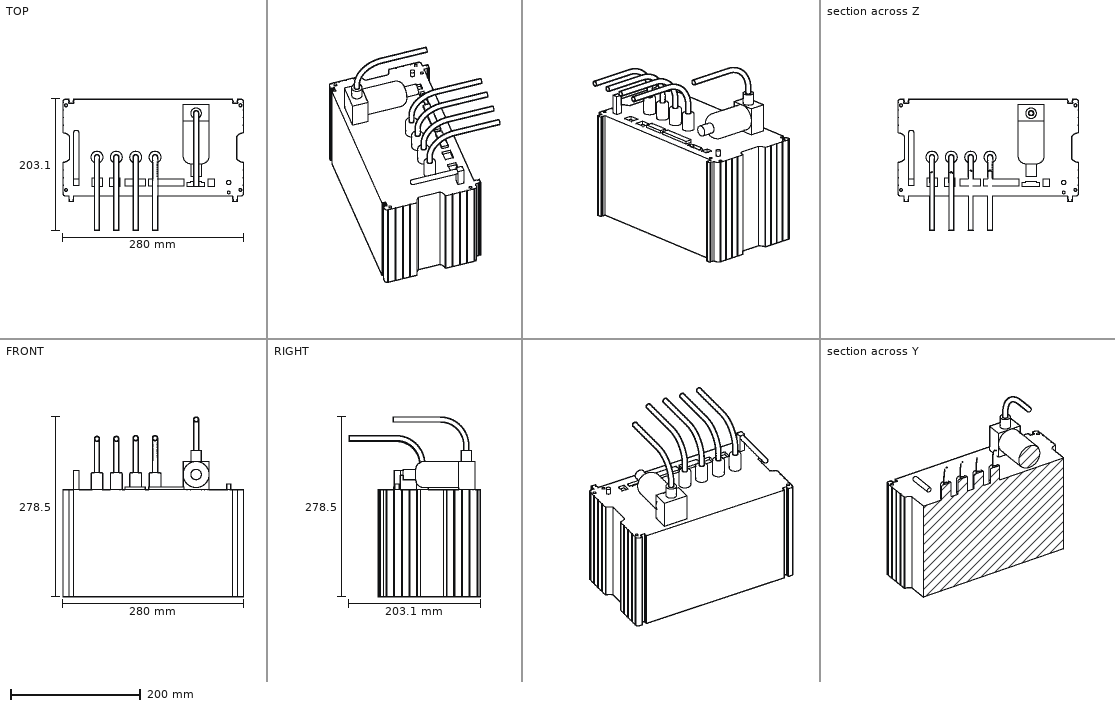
import cadquery as cq

CASE_WIDTH = 280.0
CASE_DEPTH = 150.0
CASE_HEIGHT = 166.0
CORNER_RADIUS = 4.5
HALF_WIDTH = CASE_WIDTH / 2
BACK_Y = CASE_DEPTH / 2
FRONT_Y = -BACK_Y

RECESS_MOUTH_HALF = 22.7
RECESS_FLOOR_HALF = 17.5
RECESS_DEPTH = 10.5

GROOVE_PITCH = 11.9
GROOVES_PER_SIDE = 5
GROOVE_HALF_WIDTH = 0.8
GROOVE_DEPTH = 1.0

JOINT_X = 126.8
JOINT_WIDTH = 7.5
TAB_LENGTH = 8.7
NOTCH_DEPTH = 6.2
SNAP_FROM_END = 2.8
SNAP_HALF_LENGTH = 1.5
SNAP_DEPTH = 1.0

SMALL_HOLE_DIAMETER = 4.2
CORNER_HOLE_X = 135.0
CORNER_HOLE_Y = 65.5
BLIND_HOLE_CENTRE = (116.8, -69.5)

POCKET_DEPTH = 5.0
POCKETS = [
    (-95.0, -78.7, -60.2, -46.8),
    (-67.5, -51.2, -60.2, -46.8),
    (52.5, 79.2, -60.2, -53.8),
    (57.7, 75.0, -60.2, -52.0),
    (85.0, 95.2, -60.2, -48.7),
]

PLATE_HEIGHT = 4.2
PLATES = [
    (-44.0, -12.0, -59.5, -48.7),
    (-7.0, 47.5, -59.5, -48.7),
]

PIN_CENTRE = (116.8, -54.0)
PIN_DIAMETER = 6.7
PIN_HEIGHT = 8.7

POST = (-123.5, -114.8, -58.5, -48.7)
POST_HEIGHT = 29.7
ROD_RADIUS = 4.0
ROD_LENGTH = 75.5
ROD_TIP_FILLET = 3.5

CABLE_RADIUS = 4.2
CABLE_BORE_RADIUS = 3.5
CABLE_BEND_RADIUS = 40.3
CABLE_RUN = 73.0

GLAND_FIRST_X = -87.0
GLAND_PITCH = 30.0
GLAND_Y = -14.8
GLAND_RADIUS = 9.2
GLAND_HEIGHT = 26.3
GLAND_FILLET = 2.2
CABLE_RISES = [11.8, 11.8, 13.0, 13.0]

MOTOR_X = 66.5
MOTOR_WIDTH = 40.3
BLOCK_HEIGHT = 43.5
BLOCK_FRONT_Y = 41.5
BLOCK_BACK_Y = 67.0
MOTOR_RADIUS = MOTOR_WIDTH / 2
MOTOR_NOSE_Y = -25.2
MOTOR_NOSE_FILLET = 12.3
SHAFT_RADIUS = 8.0
SHAFT_END_Y = -44.5
MOTOR_GLAND_Y = 53.2
MOTOR_GLAND_RADIUS = 8.0
MOTOR_GLAND_HEIGHT = 17.0
MOTOR_CABLE_RISE = 7.5


def slab(bounds, bottom, height):
    """Rectangular block from (left, right, front, back) bounds."""
    left, right, front, back = bounds
    return (
        cq.Workplane("XY")
        .box(right - left, back - front, height, centered=False)
        .translate((left, front, bottom))
    )


def upright(centre, radius, bottom, height):
    """Vertical round bar."""
    return cq.Workplane("XY", origin=(*centre, bottom)).circle(radius).extrude(height)


def forward_bar(x, z, radius, start_y, length):
    """Round bar lying along Y and running towards the front from start_y."""
    return cq.Workplane("XZ", origin=(x, start_y, z)).circle(radius).extrude(length)


def both_ends(shape):
    """A shape at the +X end together with its mirror image at the -X end."""
    return shape.union(shape.mirror("YZ"))


def end_recess():
    shoulder_drop = RECESS_MOUTH_HALF - RECESS_FLOOR_HALF
    floor_x = HALF_WIDTH - RECESS_DEPTH
    outside_x = HALF_WIDTH + 2.8
    upper_half = (
        cq.Workplane("XY")
        .moveTo(outside_x, 0)
        .lineTo(outside_x, RECESS_MOUTH_HALF)
        .lineTo(HALF_WIDTH, RECESS_MOUTH_HALF)
        .tangentArcPoint((-RECESS_DEPTH, -shoulder_drop))
        .lineTo(floor_x, 0)
        .close()
        .extrude(CASE_HEIGHT)
    )
    return upper_half.union(upper_half.mirror("XZ"))


def end_groove(y):
    return (
        cq.Workplane("XY")
        .moveTo(HALF_WIDTH, y - GROOVE_HALF_WIDTH)
        .lineTo(HALF_WIDTH - GROOVE_DEPTH, y)
        .lineTo(HALF_WIDTH, y + GROOVE_HALF_WIDTH)
        .close()
        .extrude(CASE_HEIGHT)
    )


def snap_profile(root_y, length):
    """Straight tongue running forward from root_y, pinched near its tip."""
    half = JOINT_WIDTH / 2
    tip_y = root_y - length
    pinch_y = tip_y + SNAP_FROM_END
    right_side = [
        (half, root_y),
        (half, pinch_y + SNAP_HALF_LENGTH),
        (half - SNAP_DEPTH, pinch_y),
        (half, pinch_y - SNAP_HALF_LENGTH),
        (half, tip_y),
    ]
    left_side = [(-x, y) for x, y in reversed(right_side)]
    tongue = cq.Workplane("XY").polyline(right_side + left_side).close()
    return tongue.extrude(CASE_HEIGHT).translate((JOINT_X, 0, 0))


def make_case():
    case = cq.Workplane("XY").box(
        CASE_WIDTH, CASE_DEPTH, CASE_HEIGHT, centered=(True, True, False)
    )
    case = case.edges("|Z").fillet(CORNER_RADIUS)
    case = case.cut(both_ends(end_recess()))
    for index in range(GROOVES_PER_SIDE):
        y = RECESS_MOUTH_HALF + index * GROOVE_PITCH
        for groove_y in (y, -y):
            case = case.cut(both_ends(end_groove(groove_y)))

    case = case.union(both_ends(snap_profile(FRONT_Y, TAB_LENGTH)))
    case = case.cut(both_ends(snap_profile(BACK_Y, NOTCH_DEPTH)))

    pocket_floor = CASE_HEIGHT - POCKET_DEPTH
    for bounds in POCKETS:
        case = case.cut(slab(bounds, pocket_floor, POCKET_DEPTH))

    hole_radius = SMALL_HOLE_DIAMETER / 2
    for y in (CORNER_HOLE_Y, -CORNER_HOLE_Y):
        case = case.cut(both_ends(upright((CORNER_HOLE_X, y), hole_radius, 0, CASE_HEIGHT)))
    return case.cut(upright(BLIND_HOLE_CENTRE, hole_radius, pocket_floor, POCKET_DEPTH))


def cable(x, y, bottom, rise):
    """Hollow cable rising from (x, y, bottom) and bending to the front."""
    bend = CABLE_BEND_RADIUS
    bend_start_z = bottom + rise
    run_z = bend_start_z + bend
    run_y = y - bend
    section = cq.Workplane("XY", origin=(x, y, bend_start_z))
    section = section.circle(CABLE_RADIUS).circle(CABLE_BORE_RADIUS)
    elbow = section.revolve(90, (0, -bend, 0), (1, -bend, 0))
    riser = upright((x, y), CABLE_RADIUS, bottom, rise)
    riser = riser.cut(upright((x, y), CABLE_BORE_RADIUS, bottom, rise))
    run = forward_bar(x, run_z, CABLE_RADIUS, run_y, CABLE_RUN)
    run = run.cut(forward_bar(x, run_z, CABLE_BORE_RADIUS, run_y, CABLE_RUN))
    return riser.union(elbow).union(run)


def cable_gland(x, rise):
    gland = upright((x, GLAND_Y), GLAND_RADIUS, CASE_HEIGHT, GLAND_HEIGHT)
    gland = gland.faces(">Z").edges().fillet(GLAND_FILLET)
    return gland.union(cable(x, GLAND_Y, CASE_HEIGHT + GLAND_HEIGHT, rise))


def make_motor():
    left = MOTOR_X - MOTOR_WIDTH / 2
    right = MOTOR_X + MOTOR_WIDTH / 2
    block_top = CASE_HEIGHT + BLOCK_HEIGHT
    axis_z = block_top - MOTOR_RADIUS
    block = slab((left, right, BLOCK_FRONT_Y, BLOCK_BACK_Y), CASE_HEIGHT, BLOCK_HEIGHT)
    barrel = forward_bar(MOTOR_X, axis_z, MOTOR_RADIUS, BLOCK_FRONT_Y, BLOCK_FRONT_Y - MOTOR_NOSE_Y)
    barrel = barrel.faces("<Y").edges().fillet(MOTOR_NOSE_FILLET)
    shaft = forward_bar(MOTOR_X, axis_z, SHAFT_RADIUS, BLOCK_FRONT_Y, BLOCK_FRONT_Y - SHAFT_END_Y)
    gland = upright((MOTOR_X, MOTOR_GLAND_Y), MOTOR_GLAND_RADIUS, block_top, MOTOR_GLAND_HEIGHT)
    gland_top = block_top + MOTOR_GLAND_HEIGHT
    motor_cable = cable(MOTOR_X, MOTOR_GLAND_Y, gland_top, MOTOR_CABLE_RISE)
    return block.union(barrel).union(shaft).union(gland).union(motor_cable)


def make_antenna():
    left, right, _, back = POST
    rod_z = CASE_HEIGHT + POST_HEIGHT - ROD_RADIUS
    rod_end_y = back + ROD_LENGTH
    rod = forward_bar((left + right) / 2, rod_z, ROD_RADIUS, rod_end_y, ROD_LENGTH)
    rod = rod.faces(">Y").edges().fillet(ROD_TIP_FILLET)
    return slab(POST, CASE_HEIGHT, POST_HEIGHT).union(rod)


result = make_case()
for plate_bounds in PLATES:
    result = result.union(slab(plate_bounds, CASE_HEIGHT, PLATE_HEIGHT))
for position, cable_rise in enumerate(CABLE_RISES):
    result = result.union(cable_gland(GLAND_FIRST_X + position * GLAND_PITCH, cable_rise))
result = result.union(make_motor())
result = result.union(make_antenna())
result = result.union(upright(PIN_CENTRE, PIN_DIAMETER / 2, CASE_HEIGHT, PIN_HEIGHT))